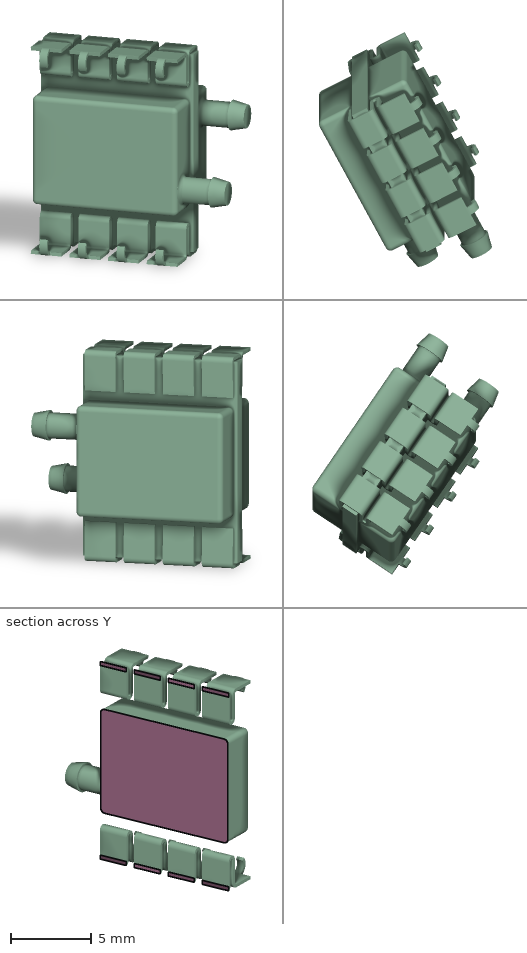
import cadquery as cq
import math

BOARD_WIDTH = 10.0
BOARD_HEIGHT = 12.74
BOARD_THICKNESS = 1.04

OVERALL_LENGTH = 12.75

COVER_WIDTH = 9.52
COVER_HEIGHT = 7.0
COVER_DEPTH = 6.17
COVER_ROUNDING = 0.32

PORT_SPACING_Y = 3.78
PORT_SPACING_Z = 4.0
PORT_DIAMETER = 1.63
PORT_ROOT_ROUNDING = 0.2
BARB_LENGTH = 1.0
BARB_DIAMETER = 1.92
BARB_TIP_DIAMETER = 1.48

CLIP_COUNT = 4
CLIP_PITCH = 2.54
CLIP_WIDTH = 2.0
CLIP_SPAN = 13.35
SHEET_THICKNESS = 0.21
INNER_BEND_RADIUS = 0.13
FRONT_LEG_GAP = 0.11
BACK_LEG_GAP = 0.19
BACK_LEG_TILT = 2.5
BACK_LEG_END_Z = 4.14
FOLD_END_Z = 4.4
TAIL_BEND_START_Y = -2.99
SHELF_LIP_SWEEP = 8.0
TAIL_WIDTH = 0.5
TAIL_OUTER_RADIUS = 0.68
TAIL_SWEEP = 131.0


def make_port(side):
    """One barbed port with a flared root; side is +1 (+Y, +Z) or -1 (-Y, -Z)."""
    wall_x = COVER_WIDTH / 2
    neck_x = wall_x + PORT_ROOT_ROUNDING
    neck_radius = PORT_DIAMETER / 2
    root_radius = neck_radius + PORT_ROOT_ROUNDING
    arc_inset = PORT_ROOT_ROUNDING * (1 - math.sqrt(0.5))
    tip_x = OVERALL_LENGTH - BOARD_WIDTH / 2
    barb_start_x = tip_x - BARB_LENGTH
    port = (
        cq.Workplane("XY")
        .lineTo(0, root_radius)
        .lineTo(wall_x, root_radius)
        .threePointArc((wall_x + arc_inset, neck_radius + arc_inset), (neck_x, neck_radius))
        .lineTo(barb_start_x, neck_radius)
        .lineTo(barb_start_x, BARB_DIAMETER / 2)
        .lineTo(tip_x, BARB_TIP_DIAMETER / 2)
        .lineTo(tip_x, 0)
        .close()
        .revolve(360, (0, 0, 0), (1, 0, 0))
    )
    return port.translate((0, side * PORT_SPACING_Y / 2, side * PORT_SPACING_Z / 2))


def make_housing():
    """Board, cover and both ports as one solid."""
    board = cq.Workplane("XY").box(BOARD_WIDTH, BOARD_THICKNESS, BOARD_HEIGHT)
    cover = cq.Workplane("XY").box(COVER_WIDTH, COVER_DEPTH, COVER_HEIGHT)
    cover = cover.edges().fillet(COVER_ROUNDING)
    return board.union(cover).union(make_port(1)).union(make_port(-1))


def make_strip(start, heading, steps, width):
    """Bent strip of sheet metal, extruded along X and centred on X = 0.

    The centre line begins at start (y, z), heading in degrees from +Y towards +Z.
    A step (length, 0, 0) runs straight; a step (0, radius, turn) bends by turn degrees,
    positive towards the left of travel.
    """
    half = SHEET_THICKNESS / 2

    def beside(point, angle, distance):
        """The point moved by distance to the left of the direction angle."""
        left = math.radians(angle + 90)
        return (point[0] + distance * math.cos(left), point[1] + distance * math.sin(left))

    stations = [(start, heading)]
    for length, radius, turn in steps:
        point, angle = stations[-1]
        if turn:
            centre_distance = math.copysign(radius, turn)
            centre = beside(point, angle, centre_distance)
            for part_turn in (turn / 2, turn):
                station_angle = angle + part_turn
                stations.append((beside(centre, station_angle, -centre_distance), station_angle))
        else:
            for part_length in (length / 2, length):
                stations.append((beside(point, angle - 90, part_length), angle))

    left_side = [beside(point, angle, half) for point, angle in stations]
    right_side = [beside(point, angle, -half) for point, angle in stations]

    def trace(outline, points, turns):
        """Continue the outline through the middle and end point of each step."""
        for index, turn in enumerate(turns):
            middle = points[2 * index + 1]
            end = points[2 * index + 2]
            outline = outline.threePointArc(middle, end) if turn else outline.lineTo(*end)
        return outline

    turns = [turn for _, _, turn in steps]
    outline = cq.Workplane("YZ", origin=(-width / 2, 0, 0)).moveTo(*left_side[0])
    outline = trace(outline, left_side, turns)
    outline = outline.lineTo(*right_side[-1])
    outline = trace(outline, right_side[::-1], turns[::-1])
    return outline.close().extrude(width)


def make_clip():
    """One clip for the top edge of the board, centred on X = 0."""
    bend = INNER_BEND_RADIUS + SHEET_THICKNESS / 2
    sheet_top = CLIP_SPAN / 2 - SHEET_THICKNESS / 2
    front_leg_y = -(BOARD_THICKNESS / 2 + FRONT_LEG_GAP + SHEET_THICKNESS / 2)
    shelf_leg_y = front_leg_y - 2 * bend
    back_leg_y = BOARD_THICKNESS / 2 + BACK_LEG_GAP + SHEET_THICKNESS / 2
    fold_leg = sheet_top - bend - (FOLD_END_Z + SHEET_THICKNESS / 2 + bend)
    back_leg = sheet_top - bend - BACK_LEG_END_Z

    start = (TAIL_BEND_START_Y, sheet_top)
    steps = [
        (shelf_leg_y - bend - TAIL_BEND_START_Y, 0, 0),
        (0, bend, -90),
        (fold_leg, 0, 0),
        (0, bend, 180),
        (fold_leg, 0, 0),
        (0, bend, -90),
        (back_leg_y - front_leg_y - 2 * bend, 0, 0),
        (0, bend, -90 - BACK_LEG_TILT),
        (back_leg, 0, 0),
    ]
    strip = make_strip(start, 0, steps, CLIP_WIDTH)

    tail_radius = TAIL_OUTER_RADIUS - SHEET_THICKNESS / 2
    lip = make_strip(start, 180, [(0, tail_radius, SHELF_LIP_SWEEP)], CLIP_WIDTH)
    tail = make_strip(start, 180, [(0, tail_radius, TAIL_SWEEP)], TAIL_WIDTH)
    return strip.union(lip).union(tail)


housing = make_housing()

top_clip = make_clip()
bottom_clip = top_clip.mirror("XY")
clips = []
for index in range(CLIP_COUNT):
    clip_x = (index - (CLIP_COUNT - 1) / 2) * CLIP_PITCH
    for clip in (top_clip, bottom_clip):
        clips.append(clip.translate((clip_x, 0, 0)).val())

result = cq.Compound.makeCompound([housing.val(), *clips])